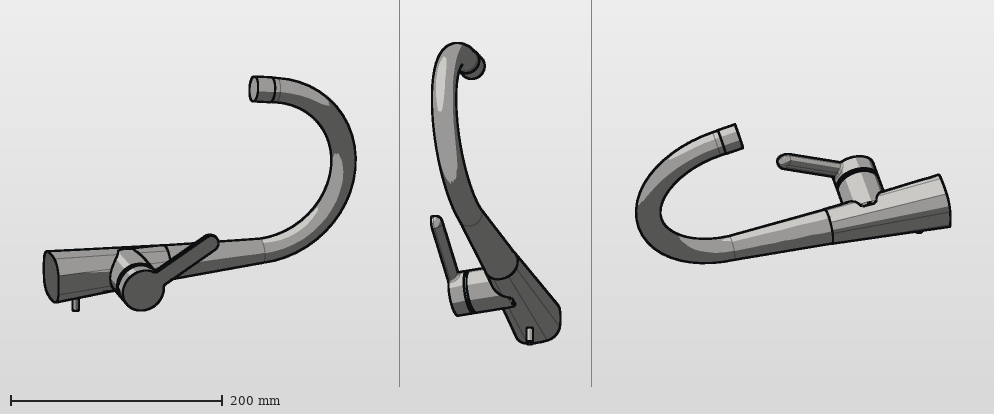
import cadquery as cq
import math

base_half_width = 23.0
base_side_radius = 60.5
base_corner_radius = 15.0
shoulder_y = 113.5
shoulder_radius = 16.5
shoulder_side_radius = 18.0
shoulder_corner_radius = 15.0

overall_length = 302.0
tube_diameter = 23.3
tube_radius = tube_diameter / 2
bend_radius = 82.0
tip_tilt = 10.5
tip_length = 22.7
collar_length = 17.2
collar_step = 0.3
bend_center_y = overall_length - bend_radius - tube_radius

valve_y = 72.5
valve_diameter = 40.8
valve_radius = valve_diameter / 2
groove_start_x = 41.0
groove_width = 2.7
groove_depth = 1.0
valve_end_x = 59.0
miter_tip_x = 1.2
miter_depth = 16.5
miter_slope = 70.0

lever_angle = 30.5
lever_length = 77.3
lever_width = 16.0
lever_thickness = 8.8
lever_rounding = 6.3
lever_root_blend = 2.0

pin_y = 24.5
pin_diameter = 6.3
pin_bottom_z = -37.0
pin_chamfer = 0.5


def rounded_square(y, half_width, side_radius, corner_radius):
    """Square of four bulged sides joined by tangent corner arcs, in the plane at y."""
    side_center = half_width - side_radius
    center_gap = side_radius - corner_radius
    corner_center = (side_center + math.sqrt(2 * center_gap**2 - side_center**2)) / 2
    stretch = side_radius / center_gap
    joint_u = corner_center * stretch
    joint_v = side_center + (corner_center - side_center) * stretch
    diagonal = corner_center + corner_radius / math.sqrt(2)
    plane = cq.Plane(origin=(0, y, 0), xDir=(1, 0, 0), normal=(0, 1, 0))
    outline = cq.Workplane(plane).moveTo(-joint_u, joint_v)
    for quarter in range(4):
        turn = math.radians(-90 * quarter)

        def turned(u, v):
            return (
                u * math.cos(turn) - v * math.sin(turn),
                u * math.sin(turn) + v * math.cos(turn),
            )

        outline = outline.threePointArc(turned(0, half_width), turned(joint_u, joint_v))
        outline = outline.threePointArc(turned(diagonal, diagonal), turned(joint_v, joint_u))
    return outline.close().val()


def make_body():
    base = rounded_square(0, base_half_width, base_side_radius, base_corner_radius)
    shoulder = rounded_square(
        shoulder_y, shoulder_radius, shoulder_side_radius, shoulder_corner_radius
    )
    return cq.Workplane(cq.Solid.makeLoft([base, shoulder], True))


def make_valve():
    groove_end_x = groove_start_x + groove_width
    groove_radius = valve_radius - groove_depth
    profile = [
        (0, 0),
        (0, valve_radius),
        (groove_start_x, valve_radius),
        (groove_start_x, groove_radius),
        (groove_end_x, groove_radius),
        (groove_end_x, valve_radius),
        (valve_end_x, valve_radius),
        (valve_end_x, 0),
    ]
    valve = cq.Workplane("XY").polyline(profile).close().revolve(360, (0, 0, 0), (1, 0, 0))
    upper_miter = (
        cq.Workplane("XY", origin=(0, 0, valve_radius))
        .moveTo(miter_tip_x, 0)
        .lineTo(miter_tip_x + miter_depth, valve_radius)
        .lineTo(valve_end_x, valve_radius)
        .lineTo(valve_end_x, -valve_radius)
        .lineTo(miter_tip_x + miter_depth, -valve_radius)
        .close()
        .extrude(-valve_radius, taper=-miter_slope)
    )
    miter = upper_miter.union(upper_miter.mirror("XY"))
    return valve.intersect(miter).translate((0, valve_y, 0))


def make_lever():
    """Round-ended bar standing radially off the valve, softened on its inner side."""
    half_width = lever_width / 2
    bar = (
        cq.Workplane("YZ")
        .moveTo(0, -half_width)
        .lineTo(lever_length, -half_width)
        .threePointArc((lever_length + half_width, 0), (lever_length, half_width))
        .lineTo(0, half_width)
        .close()
        .extrude(lever_thickness)
    )
    bar = bar.faces("<X").edges("not(<Y)").fillet(lever_rounding)
    bar = bar.rotate((0, 0, 0), (1, 0, 0), lever_angle)
    return bar.translate((valve_end_x - lever_thickness, valve_y, 0))


def make_spout():
    neck_length = bend_center_y - shoulder_y
    neck = cq.Workplane(
        cq.Solid.makeCone(
            shoulder_radius, tube_radius, neck_length, cq.Vector(0, shoulder_y, 0), cq.Vector(0, 1, 0)
        )
    )
    tilt = math.radians(tip_tilt)
    bend_end_y = bend_center_y + bend_radius * math.sin(tilt)
    bend_end_z = bend_radius * (1 + math.cos(tilt))
    tip_y = bend_end_y - tip_length * math.cos(tilt)
    tip_z = bend_end_z + tip_length * math.sin(tilt)
    path = (
        cq.Workplane("YZ")
        .moveTo(bend_center_y, 0)
        .threePointArc((bend_center_y + bend_radius, bend_radius), (bend_end_y, bend_end_z))
        .lineTo(tip_y, tip_z)
    )
    section_plane = cq.Plane(origin=(0, bend_center_y, 0), xDir=(1, 0, 0), normal=(0, 1, 0))
    tube = cq.Workplane(section_plane).circle(tube_radius).sweep(path)
    collar = cq.Workplane(
        cq.Solid.makeCylinder(
            tube_radius + collar_step,
            collar_length,
            cq.Vector(0, tip_y, tip_z),
            cq.Vector(0, math.cos(tilt), -math.sin(tilt)),
        )
    )
    return neck.union(tube).union(collar)


def make_pin():
    pin = cq.Workplane("XY", origin=(0, pin_y, pin_bottom_z))
    pin = pin.circle(pin_diameter / 2).extrude(-pin_bottom_z)
    return pin.faces("<Z").chamfer(pin_chamfer)


def make_handle():
    """Valve and lever, blended where the lever leaves the valve's side."""
    handle = make_valve().union(make_lever())
    angle = math.radians(lever_angle)
    root_y = valve_y + valve_radius * math.cos(angle)
    root_z = valve_radius * math.sin(angle)
    face_margin = 0.3
    root_box = cq.selectors.BoxSelector(
        (groove_start_x, root_y - lever_width / 2, root_z - lever_width / 2),
        (valve_end_x - face_margin, root_y + lever_width / 2, root_z + lever_width / 2),
    )
    return handle.edges(root_box).fillet(lever_root_blend)


result = make_body().union(make_handle()).union(make_spout()).union(make_pin())